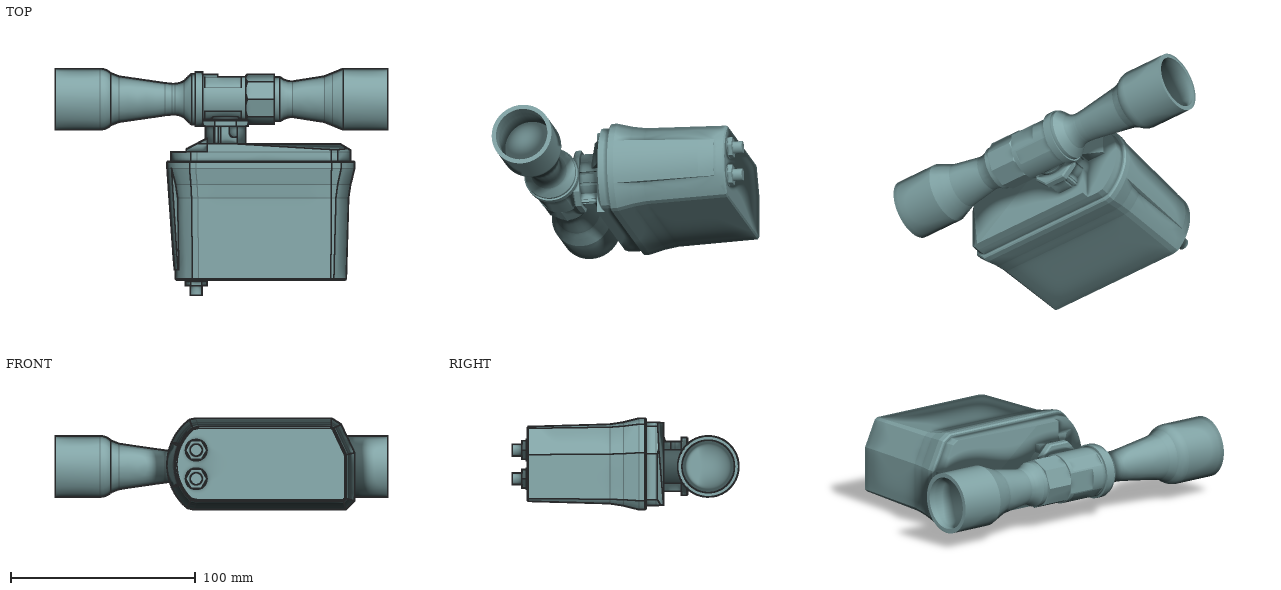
import cadquery as cq
import math


PIPE_LENGTH = 180.0
PIPE_RADIUS = 16.5
BORE_RADIUS = 14.2
SOCKET_LENGTH = 24.3
SHOULDER_RADIUS = 14.2
SHOULDER_LENGTH = 5.8
CONE_RADIUS = 12.5
CONE_OFFSET = 10.3

LEFT_CONE_END = 59.4
LEFT_CONE_RADIUS = 8.8
THROAT_START = 63.2
THROAT_END = 64.6
THROAT_RADIUS = 8.5
FLARE_END = 69.7
FLARE_RADIUS = 9.9
COLLAR_CONE_END = 73.8
COLLAR_CONE_RADIUS = 13.9
COLLAR_START = 75.8
COLLAR_END = 79.7
COLLAR_RADIUS = 14.8
BARREL_RADIUS = 13.5
BARREL_END = 103.1
NUT_END = 118.6
NUT_RADIUS = 13.5
NUT_SIDES = 8
NUT_CHAMFER = 0.9
NECK_END = 121.5
NECK_RADIUS = 12.0
NECK_WAIST_RADIUS = 10.3
RIGHT_CONE_START = 128.3
RIGHT_CONE_RADIUS = 9.7

BARREL_FLAT_START = 80.8
BARREL_FLAT_END = 100.8
BARREL_FLAT_DISTANCE = 13.0
BARREL_SIDE_START = 88.0
BARREL_SIDE_DISTANCE = 12.2

STEM_X = 92.2
STEM_RADIUS = 11.0
STEM_LUG_WIDTH = 12.6
STEM_HEIGHT = 27.0
STEM_FLANGE_WIDTH = 24.5
STEM_FLANGE_HEIGHT = 31.3
STEM_FLANGE_CORNER = 6.3
STEM_FLANGE_BEVEL = 0.7
STEM_TOP = -9.4
STEM_FLANGE_TOP = -11.0
STEM_FLANGE_BOTTOM = -14.5
STEM_GROOVES_X = (85.7, 89.0)
STEM_GROOVES_Z = (1.3, -4.7)
STEM_GROOVE_WIDTH = 1.5
STEM_GROOVE_DEPTH = 1.5
STEM_SLOT_X = 96.8
STEM_SLOT_WIDTH = 5.2
STEM_SLOT_END = -20.7
STEM_SLOT_DEPTH = 4.5

LEFT_X = 60.5
RIGHT_X = 162.0
TOP_Z = 26.1
BOTTOM_Z = -23.4
NOSE_RADIUS = 30.6
NOSE_Z = 0.9
NOSE_CORNER_DROP = 0.7
NOSE_CORNER_RUN = 3.2
SLANT_RUN = 3.6
SLANT_DROP = 7.6
SLANT_END_Z = 7.4
RIM_CHAMFER = 4.9
CHAMFER_SHRINK = 0.75
LEAST_CHAMFER = 0.5
SLANT_CORNER_SHARE = 0.75

LID_TOP = -24.1
LID_LEDGE = -28.5
RIM_TOP = -33.5
RIM_BOTTOM = -37.5
RIM_BEVEL = 0.7
SKIRT_END = -46.0
BODY_START = -53.3
BODY_END = -97.2
HOUSING_END = -98.0
LID_INSET = 2.2
LID_BLOCK_INSET = 2.5
SKIRT_INSET = 2.2
BODY_INSET = 3.2
END_INSET = 4.5
FACE_INSET = 5.4

LID_BLOCK_X = 82.3
LID_BEVEL_X = 154.0
LID_BEVEL_DROP = 3.5
LID_FACET_X = 97.2
LID_FACET_SLOPE_X = 0.06
LID_FACET_SLOPE_Z = 0.075

WEDGE_TIP_X = 71.0
WEDGE_TIP_Y = -27.0
WEDGE_TOP_Y = -21.0
WEDGE_LOW_Z = 3.8
WEDGE_CREST_Z = 6.7
WEDGE_HIGH_Z = 16.2

PANEL_TOP_Z = 13.0
PANEL_BOTTOM_Z = -11.2
PANEL_DRAFT = 1.8
PANEL_BEND = -83.7
PANEL_BEND_INSET = 3.2
PANEL_END = -92.2
PANEL_END_INSET = 4.0
PANEL_DEPTH = 7.2

CONNECTOR_X = 76.3
CONNECTORS_Z = (8.8, -6.7)
WASHER_END_Y = -98.5
WASHER_RADIUS = 5.8
HEX_SIDES = 6
HEX_DIAMETER = 11.7
HEX_END_Y = -100.8
PIN_RADIUS = 3.2
PIN_END_Y = -106.0


def block(x0, x1, y0, y1, z0, z1):
    """Box between two opposite corners."""
    return cq.Workplane("XY").box(x1 - x0, y1 - y0, z1 - z0, centered=False).translate((x0, y0, z0))


def at_y(y):
    """Plane across Y with local axes along X and Z, extruding towards -Y."""
    return cq.Workplane("XZ", origin=(0, y, 0))


def barrel_flat(x0, x1, distance, angle):
    """Cutter for a flat on the barrel, turned by angle about the pipe axis."""
    cutter = block(x0, x1, -PIPE_RADIUS, PIPE_RADIUS, distance, PIPE_RADIUS)
    return cutter.rotate((0, 0, 0), (1, 0, 0), angle)


def make_pipe():
    right_socket = PIPE_LENGTH - SOCKET_LENGTH
    neck_mid_x = (NECK_END + RIGHT_CONE_START) / 2
    profile = (
        cq.Workplane("XY")
        .lineTo(0, PIPE_RADIUS)
        .lineTo(SOCKET_LENGTH, PIPE_RADIUS)
        .tangentArcPoint((SOCKET_LENGTH + SHOULDER_LENGTH, SHOULDER_RADIUS), relative=False)
        .lineTo(SOCKET_LENGTH + CONE_OFFSET, CONE_RADIUS)
        .lineTo(LEFT_CONE_END, LEFT_CONE_RADIUS)
        .lineTo(THROAT_START, THROAT_RADIUS)
        .lineTo(THROAT_END, THROAT_RADIUS)
        .tangentArcPoint((FLARE_END, FLARE_RADIUS), relative=False)
        .lineTo(COLLAR_CONE_END, COLLAR_CONE_RADIUS)
        .lineTo(COLLAR_START, COLLAR_CONE_RADIUS)
        .lineTo(COLLAR_START, COLLAR_RADIUS)
        .lineTo(COLLAR_END, COLLAR_RADIUS)
        .lineTo(COLLAR_END, BARREL_RADIUS)
        .lineTo(BARREL_END, BARREL_RADIUS)
        .lineTo(BARREL_END, NECK_RADIUS)
        .lineTo(NECK_END, NECK_RADIUS)
        .threePointArc((neck_mid_x, NECK_WAIST_RADIUS), (RIGHT_CONE_START, RIGHT_CONE_RADIUS))
        .lineTo(right_socket - CONE_OFFSET, CONE_RADIUS)
        .lineTo(right_socket - SHOULDER_LENGTH, SHOULDER_RADIUS)
        .lineTo(right_socket, PIPE_RADIUS)
        .lineTo(PIPE_LENGTH, PIPE_RADIUS)
        .lineTo(PIPE_LENGTH, 0)
        .close()
    )
    pipe = profile.revolve(360, (0, 0, 0), (1, 0, 0))

    for angle in (45, 135, 225, 315):
        pipe = pipe.cut(barrel_flat(BARREL_FLAT_START, BARREL_FLAT_END, BARREL_FLAT_DISTANCE, angle))
    for angle in (90, 270):
        pipe = pipe.cut(barrel_flat(BARREL_SIDE_START, BARREL_END, BARREL_SIDE_DISTANCE, angle))

    nut = (
        cq.Workplane("YZ", origin=(BARREL_END, 0, 0))
        .polygon(NUT_SIDES, 2 * NUT_RADIUS)
        .extrude(NUT_END - BARREL_END)
    )
    nut_envelope = (
        cq.Workplane("YZ", origin=(BARREL_END, 0, 0))
        .circle(NUT_RADIUS)
        .extrude(NUT_END - BARREL_END)
        .faces("<X")
        .chamfer(NUT_CHAMFER)
    )
    return pipe.union(nut.intersect(nut_envelope))


def make_bores():
    left = cq.Workplane("YZ").circle(BORE_RADIUS).extrude(SOCKET_LENGTH)
    return left.union(left.translate((PIPE_LENGTH - SOCKET_LENGTH, 0, 0)))


def stem_groove(x, z, x_size, z_size):
    """Cutter for a groove along the stem, from its flange to the lid."""
    return (
        at_y(STEM_FLANGE_BOTTOM)
        .center(x, z)
        .rect(x_size, z_size)
        .extrude(STEM_FLANGE_BOTTOM - LID_TOP)
    )


def make_stem():
    root = (
        at_y(STEM_TOP)
        .center(STEM_X, 0)
        .circle(STEM_RADIUS)
        .extrude(STEM_TOP - LID_LEDGE)
    )
    lugs = (
        at_y(STEM_FLANGE_TOP)
        .center(STEM_X, 0)
        .rect(STEM_LUG_WIDTH, STEM_HEIGHT)
        .extrude(STEM_FLANGE_TOP - LID_LEDGE)
    )
    stem = root.union(lugs)

    half = STEM_HEIGHT / 2
    for x in STEM_GROOVES_X:
        stem = stem.cut(stem_groove(x, half, STEM_GROOVE_WIDTH, 2 * STEM_GROOVE_DEPTH))
        stem = stem.cut(stem_groove(x, -half, STEM_GROOVE_WIDTH, 2 * STEM_GROOVE_DEPTH))
    for z in STEM_GROOVES_Z:
        stem = stem.cut(stem_groove(STEM_X - STEM_RADIUS, z, 2 * STEM_GROOVE_DEPTH, STEM_GROOVE_WIDTH))

    slot_radius = STEM_SLOT_WIDTH / 2
    slot = (
        cq.Workplane("XY", origin=(STEM_SLOT_X, 0, half - STEM_SLOT_DEPTH))
        .moveTo(-slot_radius, STEM_FLANGE_BOTTOM)
        .lineTo(-slot_radius, STEM_SLOT_END + slot_radius)
        .threePointArc((0, STEM_SLOT_END), (slot_radius, STEM_SLOT_END + slot_radius))
        .lineTo(slot_radius, STEM_FLANGE_BOTTOM)
        .close()
        .extrude(STEM_SLOT_DEPTH)
    )
    flange = (
        at_y(STEM_FLANGE_TOP)
        .center(STEM_X, 0)
        .rect(STEM_FLANGE_WIDTH, STEM_FLANGE_HEIGHT)
        .extrude(STEM_FLANGE_TOP - STEM_FLANGE_BOTTOM)
        .edges("|Y")
        .chamfer(STEM_FLANGE_CORNER)
        .faces(">Y")
        .chamfer(STEM_FLANGE_BEVEL)
    )
    return stem.cut(slot).union(flange)


def housing_outline(work, inset):
    """Housing outline drawn on a plane across Y, moved inwards by inset."""
    top = TOP_Z - inset
    bottom = BOTTOM_Z + inset
    right = RIGHT_X - inset
    nose_x = LEFT_X + NOSE_RADIUS
    radius = NOSE_RADIUS - inset
    nose_top = top - NOSE_CORNER_DROP
    nose_bottom = bottom + NOSE_CORNER_DROP
    top_left = nose_x - math.sqrt(radius**2 - (nose_top - NOSE_Z) ** 2)
    bottom_left = nose_x - math.sqrt(radius**2 - (nose_bottom - NOSE_Z) ** 2)

    slant_length = math.hypot(SLANT_RUN, SLANT_DROP)
    slant_x = SLANT_RUN / slant_length
    slant_z = SLANT_DROP / slant_length
    slant_end = SLANT_END_Z - inset * (1 - slant_z) / slant_x
    slant_top = right - (top - slant_end) * SLANT_RUN / SLANT_DROP

    chamfer = max(RIM_CHAMFER - CHAMFER_SHRINK * inset, LEAST_CHAMFER)
    corner = SLANT_CORNER_SHARE * chamfer
    return (
        work.moveTo(top_left + NOSE_CORNER_RUN, top)
        .lineTo(top_left, nose_top)
        .threePointArc((LEFT_X + inset, NOSE_Z), (bottom_left, nose_bottom))
        .lineTo(bottom_left + NOSE_CORNER_RUN, bottom)
        .lineTo(right - chamfer, bottom)
        .lineTo(right, bottom + chamfer)
        .lineTo(right, slant_end)
        .lineTo(slant_top + corner * slant_x, top - corner * slant_z)
        .lineTo(slant_top - corner, top)
        .close()
    )


def housing_layer(y0, inset0, y1, inset1):
    """Stretch of housing tapering from one inset to another along Y."""
    if inset0 == inset1:
        return housing_outline(at_y(y0), inset0).extrude(y0 - y1)
    first = housing_outline(at_y(y0), inset0)
    both = housing_outline(first.workplane(offset=y0 - y1), inset1)
    return both.loft(ruled=True)


def make_housing():
    sections = (
        (LID_LEDGE, LID_INSET),
        (RIM_TOP, LID_INSET),
        (RIM_TOP, RIM_BEVEL),
        (RIM_TOP - RIM_BEVEL, 0),
        (RIM_BOTTOM, 0),
        (SKIRT_END, SKIRT_INSET),
        (BODY_START, BODY_INSET),
        (BODY_END, END_INSET),
        (HOUSING_END, FACE_INSET),
    )
    housing = None
    for (y0, inset0), (y1, inset1) in zip(sections, sections[1:]):
        if y0 == y1:
            continue
        layer = housing_layer(y0, inset0, y1, inset1)
        housing = layer if housing is None else housing.union(layer)
    return housing


def make_lid_block():
    slab = housing_layer(LID_TOP, LID_BLOCK_INSET, LID_LEDGE, LID_INSET)
    slab = slab.cut(block(LEFT_X, LID_BLOCK_X, LID_LEDGE, LID_TOP, BOTTOM_Z, TOP_Z))

    lid_right = RIGHT_X - LID_INSET
    bevel = (
        cq.Workplane("XY", origin=(0, 0, BOTTOM_Z))
        .moveTo(LID_BEVEL_X, LID_TOP)
        .lineTo(lid_right, LID_TOP - LID_BEVEL_DROP)
        .lineTo(lid_right, LID_TOP)
        .close()
        .extrude(TOP_Z - BOTTOM_Z)
    )

    facet_plane = cq.Plane(
        origin=(LID_FACET_X, LID_TOP, TOP_Z - LID_BLOCK_INSET),
        xDir=(1, -LID_FACET_SLOPE_X, 0),
        normal=(LID_FACET_SLOPE_X, 1, LID_FACET_SLOPE_Z),
    )
    facet = cq.Workplane(facet_plane).rect(PIPE_LENGTH, PIPE_LENGTH).extrude(PIPE_RADIUS)
    return slab.cut(bevel).cut(facet)


def make_wedge():
    """Gusset from the lid ledge up to the stem, lower at its upper Z end."""
    ramp = (
        cq.Workplane("XY", origin=(0, 0, WEDGE_LOW_Z))
        .moveTo(WEDGE_TIP_X, LID_LEDGE)
        .lineTo(WEDGE_TIP_X, WEDGE_TIP_Y)
        .lineTo(LID_BLOCK_X, WEDGE_TOP_Y)
        .lineTo(LID_BLOCK_X, LID_LEDGE)
        .close()
        .extrude(WEDGE_HIGH_Z - WEDGE_LOW_Z)
    )
    slope = (
        cq.Workplane("YZ", origin=(WEDGE_TIP_X, 0, 0))
        .moveTo(LID_LEDGE, WEDGE_LOW_Z)
        .lineTo(WEDGE_TOP_Y, WEDGE_LOW_Z)
        .lineTo(WEDGE_TOP_Y, WEDGE_CREST_Z)
        .lineTo(LID_TOP, WEDGE_HIGH_Z)
        .lineTo(LID_LEDGE, WEDGE_HIGH_Z)
        .close()
        .extrude(LID_BLOCK_X - WEDGE_TIP_X)
    )
    return ramp.intersect(slope)


def make_panel():
    """Raised panel on the rounded end, straight from the rim to near the far face."""
    skin = housing_layer(RIM_BOTTOM, 0, PANEL_BEND, PANEL_BEND_INSET)
    skin = skin.union(housing_layer(PANEL_BEND, PANEL_BEND_INSET, PANEL_END, PANEL_END_INSET))
    window = (
        cq.Workplane("YZ", origin=(LEFT_X, 0, 0))
        .moveTo(RIM_BOTTOM, PANEL_BOTTOM_Z)
        .lineTo(RIM_BOTTOM, PANEL_TOP_Z)
        .lineTo(PANEL_END, PANEL_TOP_Z - PANEL_DRAFT)
        .lineTo(PANEL_END, PANEL_BOTTOM_Z + PANEL_DRAFT)
        .close()
        .extrude(PANEL_DEPTH)
    )
    return skin.intersect(window)


def make_connector(z):
    washer = (
        at_y(HOUSING_END)
        .center(CONNECTOR_X, z)
        .circle(WASHER_RADIUS)
        .extrude(HOUSING_END - WASHER_END_Y)
    )
    hexagon = (
        at_y(WASHER_END_Y)
        .center(CONNECTOR_X, z)
        .polygon(HEX_SIDES, HEX_DIAMETER)
        .extrude(WASHER_END_Y - HEX_END_Y)
    )
    pin = (
        at_y(HEX_END_Y)
        .center(CONNECTOR_X, z)
        .circle(PIN_RADIUS)
        .extrude(HEX_END_Y - PIN_END_Y)
    )
    return washer.union(hexagon).union(pin)


result = make_pipe().union(make_stem()).cut(make_bores())
result = result.union(make_housing()).union(make_lid_block()).union(make_wedge()).union(make_panel())
for connector_z in CONNECTORS_Z:
    result = result.union(make_connector(connector_z))